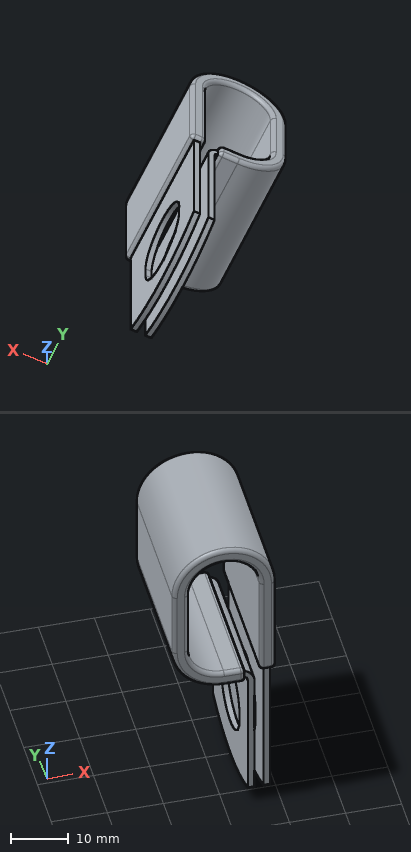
import cadquery as cq

height = 59.15
loop_width = 18.35
cushion_length = 26.95

cushion_thickness = 2.85
edge_round = 0.75
lower_arc_z = 37.25
lower_end_x = 3.7
right_end_z = 30.15

strap_thickness = 1.2
strap_length = cushion_length - 2 * edge_round
bent_leg_x = 4.95

hole_diameter = 13.5
hole_z = 14.2
slot_straight = 2.5
tip_rise = 2.95

selection_margin = 0.05

loop_radius = (loop_width - cushion_thickness) / 2
upper_arc_z = height - loop_width / 2
floor_z = lower_arc_z - loop_radius
bend_start_x = lower_end_x - edge_round
bend_radius = bent_leg_x - bend_start_x
leg_gap_x = (bent_leg_x + loop_radius) / 2


def loop_path(right_z, end_x):
    """Centreline from the straight leg, over the loop and onto its floor."""
    return (
        cq.Workplane("XZ")
        .moveTo(loop_radius, right_z)
        .lineTo(loop_radius, upper_arc_z)
        .threePointArc((0, upper_arc_z + loop_radius), (-loop_radius, upper_arc_z))
        .lineTo(-loop_radius, lower_arc_z)
        .radiusArc((0, floor_z), -loop_radius)
        .lineTo(end_x, floor_z)
    )


def sweep_band(path, start_z, thickness, length):
    """Sweep a flat section, centred on the straight leg, along the path."""
    return (
        cq.Workplane("XY", origin=(loop_radius, 0, start_z))
        .rect(thickness, length)
        .sweep(path)
    )


def make_cushion():
    path = loop_path(right_end_z, lower_end_x)
    band = sweep_band(path, right_end_z, cushion_thickness, cushion_length)
    ends = band.faces(cq.selectors.BoxSelector(
        (lower_end_x - selection_margin, -cushion_length, 0),
        (loop_width, cushion_length, right_end_z + selection_margin)))
    sides = band.faces("<Y or >Y")
    return band.newObject(ends.edges().vals() + sides.edges().vals()).fillet(edge_round)


def make_strap():
    path = (
        loop_path(0, bend_start_x)
        .radiusArc((bent_leg_x, floor_z - bend_radius), bend_radius)
        .lineTo(bent_leg_x, 0)
    )
    strap = sweep_band(path, 0, strap_thickness, strap_length)
    half_length = strap_length / 2
    outline = (
        cq.Workplane("YZ", origin=(-loop_width / 2, 0, 0))
        .moveTo(-half_length, tip_rise)
        .threePointArc((0, 0), (half_length, tip_rise))
        .lineTo(half_length, height)
        .lineTo(-half_length, height)
        .close()
        .extrude(loop_width)
    )
    hole = (
        cq.Workplane("YZ", origin=(0, 0, hole_z))
        .circle(hole_diameter / 2)
        .extrude(leg_gap_x)
    )
    slot = (
        cq.Workplane("YZ", origin=(leg_gap_x, 0, hole_z))
        .slot2D(hole_diameter + slot_straight, hole_diameter, angle=90)
        .extrude(loop_width / 2)
    )
    return strap.intersect(outline).cut(hole).cut(slot)


result = make_cushion().union(make_strap())